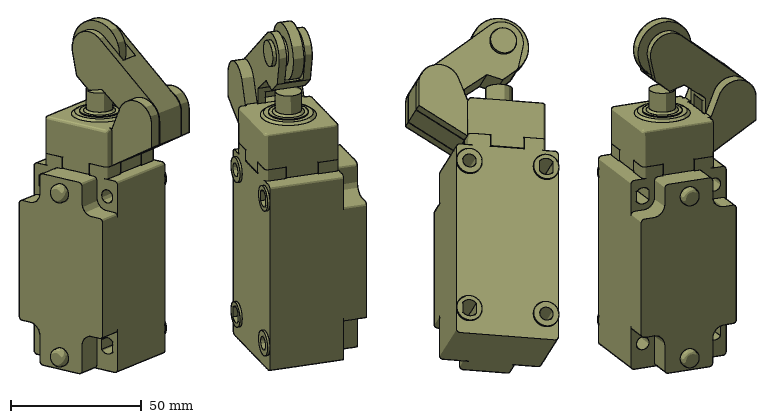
import cadquery as cq
import math


body_width = 40.0
body_height = 77.0
body_corner_radius = 1.5
front_section_depth = 9.4
band_bottom = 16.1
band_top = 64.3
boss_width = 20.1
notch_radius = 4.7

mount_hole_x = 15.0
mount_hole_low_z = 10.1
mount_hole_high_z = 70.1
mount_hole_diameter = 5.2
mount_slot_height = 6.6
pad_diameter = 10.0
pad_thickness = 1.0

screw_diameter = 7.3
screw_height = 2.8
screw_round = 1.5
screw_low_z = 5.1
screw_high_z = 71.0

foot_height = 4.7
foot_spacing = 13.3

head_size = 30.1
head_top = 96.5
head_edge_radius = 1.3
top_edge_radius = 1.2
skirt_clearance = 0.3

boot_base_radius = 10.7
boot_top_radius = 9.5
boot_height = 1.0
collar_radius = 7.7
collar_height = 0.4
neck_base_radius = 6.2
neck_height = 0.8
plunger_radius = 5.1
plunger_rim_z = 106.4
plunger_top_z = 107.3

lug_outer_width = 23.9
lug_gap = 14.2
lug_low_z = 92.5
lug_root_depth = head_edge_radius

lever_end_radius = 8.0
lug_right_x = 34.0
pivot_x = lug_right_x - lever_end_radius
pivot_z = 101.8
roller_z = 123.2
lever_width = 13.5
fork_slot_width = 7.5
fork_slot_radius = 12.0
heel_point = (-5.9, 112.4)
nose_point = (0, 107.6)
hollow_point = (6.2, 109.2)
shank_corner_z = 102.5
shank_slot_top_z = 100.6
shank_slot_floor_z = 90.1
shank_slot_depth = 8.0

roller_radius = 11.1
roller_width = 4.3
hub_radius = 5.9
hub_width = 6.8
pin_radius = 2.7
rivet_radius = 5.1
rivet_thickness = 1.5

half_head = head_size / 2
back_y = half_head
step_y = -half_head
front_y = step_y - front_section_depth
foot_top = body_height + foot_height
lug_thickness = (lug_outer_width - lug_gap) / 2


def xz_plane(y):
    """Sketch plane with local axes X and Z; extrusion runs toward -Y."""
    return cq.Workplane("XZ", origin=(0, y, 0))


def block(width, bottom, top, back, front):
    """Block centred on X = 0."""
    size = (width, back - front, top - bottom)
    return cq.Workplane("XY").box(*size).translate((0, (back + front) / 2, (bottom + top) / 2))


def disc(radius, x, z, back, front):
    """Cylinder along Y."""
    return xz_plane(back).center(x, z).circle(radius).extrude(back - front)


def tangent_point(centre, radius, point, side):
    """Point where the tangent from `point` touches a circle; side +1 or -1 picks which one."""
    dx = point[0] - centre[0]
    dz = point[1] - centre[1]
    angle = math.atan2(dz, dx) + side * math.acos(radius / math.hypot(dx, dz))
    return on_circle(centre, radius, angle)


def on_circle(centre, radius, angle):
    return (centre[0] + radius * math.cos(angle), centre[1] + radius * math.sin(angle))


def make_front_section():
    """Cross-shaped front of the housing, with rounded notches at its four corners."""
    band = block(body_width, band_bottom, band_top, step_y, front_y)
    boss = block(boss_width, 0, body_height, step_y, front_y)
    cross = band.edges("|Y").fillet(body_corner_radius).union(boss.edges("|Y").fillet(body_corner_radius))
    reach_x = (boss_width + body_width) / 4
    inner_region = cq.selectors.BoxSelector(
        (-reach_x, front_y, band_bottom / 2),
        (reach_x, step_y, (band_top + body_height) / 2),
    )
    corner_edges = cross.edges("|Y").edges(inner_region)
    return corner_edges.fillet(notch_radius)


def make_feet():
    """Four corner feet that carry the head, flush with its sides."""
    feet = block(head_size, body_height, foot_top, half_head, -half_head)
    feet = feet.edges("|Z").fillet(head_edge_radius)
    feet = feet.cut(block(foot_spacing, body_height, foot_top, half_head, -half_head))
    return feet.cut(block(head_size, body_height, foot_top, foot_spacing / 2, -foot_spacing / 2))


def mount_hole(x, z, is_slot):
    """Cutter through the housing: a round hole, or a slot with flat sides and arched ends."""
    pad_face_y = back_y + pad_thickness
    if not is_slot:
        return disc(mount_hole_diameter / 2, x, z, pad_face_y, front_y)
    arched = disc(mount_slot_height / 2, x, z, pad_face_y, front_y)
    flat_sides = block(
        mount_hole_diameter, z - mount_slot_height, z + mount_slot_height, pad_face_y, front_y
    )
    return arched.intersect(flat_sides.translate((x, 0, 0)))


def make_housing():
    housing = block(body_width, 0, body_height, back_y, step_y)
    housing = housing.edges("|Y").fillet(body_corner_radius)
    housing = housing.union(make_front_section()).union(make_feet())

    for screw_z in (screw_low_z, screw_high_z):
        screw = disc(screw_diameter / 2, 0, screw_z, front_y, front_y - screw_height)
        housing = housing.union(screw.faces("<Y").edges().fillet(screw_round))

    for side in (-1, 1):
        for level, hole_z in ((-1, mount_hole_low_z), (1, mount_hole_high_z)):
            x = side * mount_hole_x
            housing = housing.union(disc(pad_diameter / 2, x, hole_z, back_y + pad_thickness, back_y))
            housing = housing.cut(mount_hole(x, hole_z, is_slot=side != level))
    return housing


def make_plunger():
    """Sealing boot and domed plunger, turned about Z."""
    boot_z = head_top + boot_height
    collar_z = boot_z + collar_height
    dome_mid = plunger_radius / 2
    dome_rise = plunger_top_z - plunger_rim_z
    dome_radius = (plunger_radius**2 + dome_rise**2) / (2 * dome_rise)
    dome_mid_z = plunger_top_z - dome_radius + math.sqrt(dome_radius**2 - dome_mid**2)
    return (
        cq.Workplane("XZ")
        .moveTo(0, head_top)
        .lineTo(boot_base_radius, head_top)
        .lineTo(boot_top_radius, boot_z)
        .lineTo(collar_radius, boot_z)
        .lineTo(collar_radius, collar_z)
        .lineTo(neck_base_radius, collar_z)
        .lineTo(plunger_radius, collar_z + neck_height)
        .lineTo(plunger_radius, plunger_rim_z)
        .threePointArc((dome_mid, dome_mid_z), (0, plunger_top_z))
        .close()
        .revolve(360, (0, 0, 0), (0, 1, 0))
    )


def make_lug(back):
    """Side plate on the +X face of the head, rounded about the lever pivot."""
    pivot = (pivot_x, pivot_z)
    flank_foot = (half_head, head_top)
    flank_top = tangent_point(pivot, lever_end_radius, flank_foot, -1)
    return (
        xz_plane(back)
        .moveTo(half_head - lug_root_depth, foot_top)
        .lineTo(half_head, foot_top)
        .lineTo(lug_right_x, lug_low_z)
        .lineTo(lug_right_x, pivot_z)
        .threePointArc((pivot_x, pivot_z + lever_end_radius), flank_top)
        .lineTo(*flank_foot)
        .lineTo(half_head - lug_root_depth, head_top)
        .close()
        .extrude(lug_thickness)
    )


def make_head():
    skirt_bottom = body_height + skirt_clearance
    head = block(head_size, skirt_bottom, head_top, half_head, -half_head)
    head = head.edges("|Z").fillet(head_edge_radius)
    head = head.faces(">Z").edges().fillet(top_edge_radius)

    skirt_width = foot_spacing - 2 * skirt_clearance
    recess = half_head - skirt_width / 2
    recess_centre = half_head - recess / 2
    for x in (-recess_centre, recess_centre):
        for y in (-recess_centre, recess_centre):
            corner = block(recess, skirt_bottom, foot_top, recess / 2, -recess / 2)
            head = head.cut(corner.translate((x, y, 0)))

    for lug_back in (lug_outer_width / 2, -lug_gap / 2):
        head = head.union(make_lug(lug_back))
    return head.union(make_plunger())


def make_fork_slot(lever_angle):
    """U-shaped cutter round the roller, open across the top edge of the lever."""
    half_slot = fork_slot_width / 2
    bowl = disc(fork_slot_radius, 0, 0, half_slot, -half_slot)
    opening = block(2 * fork_slot_radius, 0, 2 * fork_slot_radius, half_slot, -half_slot)
    slot = bowl.union(opening).rotate((0, 0, 0), (0, 1, 0), -math.degrees(lever_angle))
    return slot.translate((0, 0, roller_z))


def make_shank_slot():
    """Blind slot into the -X face of the shank; its floor slopes like the underside of the lugs."""
    slope = (lug_low_z - foot_top) / (lug_right_x - half_head)
    slot_end_x = half_head + shank_slot_depth
    return (
        xz_plane(fork_slot_width / 2)
        .moveTo(half_head, shank_slot_floor_z)
        .lineTo(slot_end_x, shank_slot_floor_z + slope * shank_slot_depth)
        .lineTo(slot_end_x, shank_slot_top_z)
        .lineTo(half_head, shank_slot_top_z)
        .close()
        .extrude(fork_slot_width)
    )


def make_lever():
    """Forked lever whose root follows the lug outline, with the roller pin and its rivet head."""
    pivot = (pivot_x, pivot_z)
    roller_axis = (0, roller_z)
    lever_angle = math.atan2(pivot_z - roller_z, pivot_x)
    top_normal = lever_angle + math.pi / 2
    heel_tangent = tangent_point(roller_axis, lever_end_radius, heel_point, -1)

    lever = (
        xz_plane(lever_width / 2)
        .moveTo(*heel_point)
        .lineTo(*nose_point)
        .lineTo(*hollow_point)
        .lineTo(half_head, shank_corner_z)
        .lineTo(half_head, foot_top)
        .lineTo(lug_right_x, lug_low_z)
        .lineTo(lug_right_x, pivot_z)
        .threePointArc(
            on_circle(pivot, lever_end_radius, top_normal / 2),
            on_circle(pivot, lever_end_radius, top_normal),
        )
        .lineTo(*on_circle(roller_axis, lever_end_radius, top_normal))
        .threePointArc(on_circle(roller_axis, lever_end_radius, top_normal + math.radians(45)), heel_tangent)
        .close()
        .extrude(lever_width)
    )
    lever = lever.cut(make_fork_slot(lever_angle)).cut(make_shank_slot())

    lever_back = lever_width / 2
    pin = disc(pin_radius, 0, roller_z, lever_back, -fork_slot_width / 2)
    rivet = disc(rivet_radius, 0, roller_z, lever_back + rivet_thickness, lever_back)
    return lever.union(pin).union(rivet)


def make_roller():
    tread = disc(roller_radius, 0, roller_z, roller_width / 2, -roller_width / 2)
    hub = disc(hub_radius, 0, roller_z, hub_width / 2, -hub_width / 2)
    bore = disc(pin_radius, 0, roller_z, hub_width / 2, -hub_width / 2)
    return tread.union(hub).cut(bore)


housing = make_housing()
head = make_head()
lever = make_lever()
roller = make_roller()

result = cq.Compound.makeCompound([housing.val(), head.val(), lever.val(), roller.val()])